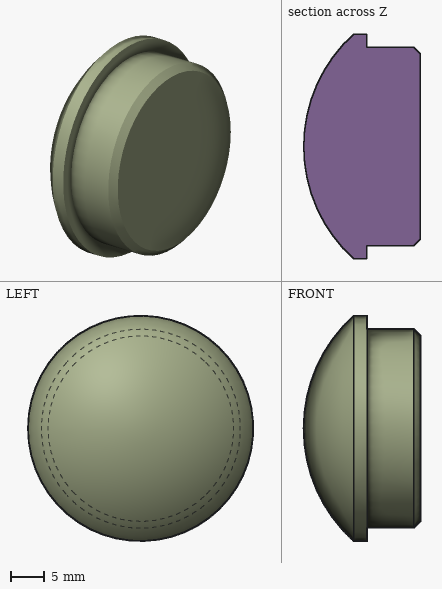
import cadquery as cq
import math

flange_diameter = 33.7
flange_thickness = 2.0
plug_diameter = 29.75
plug_length = 8.0
plug_chamfer = 1.0
dome_height = 7.5

flange_radius = flange_diameter / 2
plug_radius = plug_diameter / 2
plug_end = flange_thickness + plug_length

dome_radius = (flange_radius**2 + dome_height**2) / (2 * dome_height)
dome_center = dome_radius - dome_height
half_angle = math.asin(flange_radius / dome_radius) / 2
dome_midpoint = (
    dome_center - dome_radius * math.cos(half_angle),
    dome_radius * math.sin(half_angle),
)

profile = (
    cq.Workplane("XY")
    .moveTo(-dome_height, 0)
    .threePointArc(dome_midpoint, (0, flange_radius))
    .lineTo(flange_thickness, flange_radius)
    .lineTo(flange_thickness, plug_radius)
    .lineTo(plug_end - plug_chamfer, plug_radius)
    .lineTo(plug_end, plug_radius - plug_chamfer)
    .lineTo(plug_end, 0)
    .close()
)

result = profile.revolve(360, (0, 0, 0), (1, 0, 0))